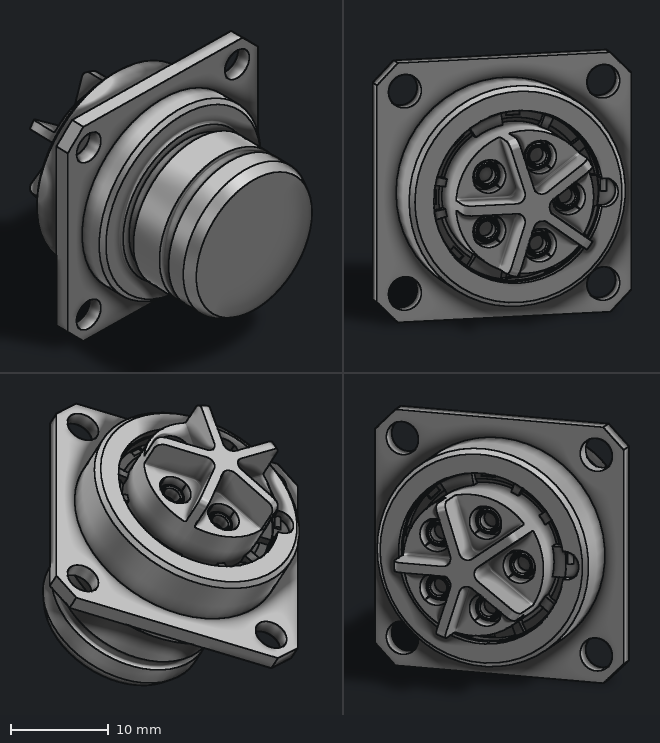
import cadquery as cq
import math

LENGTH = 27.05
SECTOR_FLOOR_X = 3.52
EARTH_FLOOR_X = 4.45
SHELL_FRONT_X = 6.4
FLANGE_FRONT_X = 11.9
FLANGE_THICKNESS = 1.68
SHELL_REAR_X = 16.58
COLLAR_REAR_X = 17.01
BARREL_FRONT_X = 18.45
GROOVE_FRONT_X = 22.3
GROOVE_REAR_X = 23.65
NOSE_X = 25.8

SHELL_RADIUS = 11.47
SHELL_CHAMFER = 0.5
COLLAR_RADIUS = 8.95
COLLAR_BLEND = 0.25
NECK_RADIUS = 8.12
BARREL_RADIUS = 8.87
GROOVE_RADIUS = 8.3
GROOVE_FILLET = 0.14
NOSE_RADIUS = 8.22

FLANGE_SIDE = 27.0
FLANGE_CORNER = 2.22
MOUNT_HOLE_RADIUS = 1.73
MOUNT_HOLE_PITCH = 21.05

MOUTH_RADIUS = 8.98
MOUTH_DEPTH = 0.9
GAP_RADIUS = 8.82
GAP_FLOOR_X = 8.52
BEVEL_RADIUS = 7.9
BEVEL_DEPTH = 0.4
RIB_HEIGHT = 0.68
TAB_HEIGHT = 0.8
RIB_ANGLES = (62.0, 68.5)
TAB_ANGLES = (100.0, 124.0)
SIDE_RIB_ANGLES = (165.0, 171.0)
ARM_RIB_WIDTH = 1.14
ARM_RIB_SHIFT = 0.15
KEY_BLOCK_WIDTH = 3.2
WINDOW_ANGLES = (90, 135, 180, 225, 270)
WINDOW_RADIUS = 8.45
WINDOW_LENGTH = 1.45
WINDOW_WIDTH = 0.6
WINDOW_DEPTH = 0.27

KEYWAY_RADIUS = 1.5
KEYWAY_OFFSET = 9.1
KEYWAY_DEPTH = 1.08
KEYWAY_BEAD_RADIUS = 0.32
KEYWAY_BEAD_OFFSET = 9.3

INSERT_RADIUS = 7.45
TIP_FILLET = 0.92
CONTACTS = 5
ARM_THICKNESS = 1.03
HUB_FILLET = 0.92
FLOOR_FILLET = 0.22
CONTACT_CIRCLE = 4.81
RECESS_RADIUS = 1.73
RECESS_DEPTH = 2.16
RECESS_FLOOR_RADIUS = 1.57
RECESS_STRAIGHT_WIDTH = 2.38
TUBE_RADIUS = 1.35
TUBE_SETBACK = 0.68
TUBE_CHAMFER = 0.15
BORE_RADIUS = 0.9

SECTOR_STEP = 360.0 / CONTACTS
OVERLAP = 0.27


def facing_front(x):
    """Workplane at station x looking out of the front: local x is -Y, local y is Z."""
    return cq.Workplane(cq.Plane(origin=(x, 0, 0), xDir=(0, -1, 0), normal=(-1, 0, 0)))


def polar(radius, angle):
    """Local point on a front-facing plane; angle 0 points at the earth contact."""
    return radius * math.cos(math.radians(angle)), radius * math.sin(math.radians(angle))


def turned(profile):
    return profile.close().revolve(360, (0, 0, 0), (1, 0, 0))


def make_housing():
    shell_edge = SHELL_RADIUS - SHELL_CHAMFER
    return turned(
        cq.Workplane("XY")
        .moveTo(SHELL_FRONT_X, 0)
        .lineTo(SHELL_FRONT_X, shell_edge)
        .lineTo(SHELL_FRONT_X + SHELL_CHAMFER, SHELL_RADIUS)
        .lineTo(SHELL_REAR_X - SHELL_CHAMFER, SHELL_RADIUS)
        .lineTo(SHELL_REAR_X, shell_edge)
        .lineTo(SHELL_REAR_X, COLLAR_RADIUS + COLLAR_BLEND)
        .radiusArc((SHELL_REAR_X + COLLAR_BLEND, COLLAR_RADIUS), -COLLAR_BLEND)
        .lineTo(COLLAR_REAR_X, COLLAR_RADIUS)
        .lineTo(COLLAR_REAR_X, NECK_RADIUS)
        .lineTo(BARREL_FRONT_X, NECK_RADIUS)
        .lineTo(BARREL_FRONT_X, BARREL_RADIUS)
        .lineTo(GROOVE_FRONT_X, BARREL_RADIUS)
        .lineTo(GROOVE_FRONT_X, GROOVE_RADIUS + GROOVE_FILLET)
        .radiusArc((GROOVE_FRONT_X + GROOVE_FILLET, GROOVE_RADIUS), -GROOVE_FILLET)
        .lineTo(GROOVE_REAR_X - GROOVE_FILLET, GROOVE_RADIUS)
        .radiusArc((GROOVE_REAR_X, GROOVE_RADIUS + GROOVE_FILLET), -GROOVE_FILLET)
        .lineTo(GROOVE_REAR_X, BARREL_RADIUS)
        .lineTo(NOSE_X, BARREL_RADIUS)
        .lineTo(LENGTH, NOSE_RADIUS)
        .lineTo(LENGTH, 0)
    )


def make_flange():
    flange = (
        facing_front(FLANGE_FRONT_X)
        .rect(FLANGE_SIDE, FLANGE_SIDE)
        .extrude(-FLANGE_THICKNESS)
        .edges("|X")
        .chamfer(FLANGE_CORNER)
    )
    holes = (
        facing_front(FLANGE_FRONT_X)
        .rect(MOUNT_HOLE_PITCH, MOUNT_HOLE_PITCH, forConstruction=True)
        .vertices()
        .circle(MOUNT_HOLE_RADIUS)
        .extrude(-FLANGE_THICKNESS)
    )
    return flange.cut(holes)


def make_gap():
    """Stepped bore with a conical groove around the foot of the insert."""
    return turned(
        cq.Workplane("XY")
        .moveTo(SHELL_FRONT_X, 0)
        .lineTo(SHELL_FRONT_X, MOUTH_RADIUS)
        .lineTo(SHELL_FRONT_X + MOUTH_DEPTH, MOUTH_RADIUS)
        .lineTo(SHELL_FRONT_X + MOUTH_DEPTH, GAP_RADIUS)
        .lineTo(GAP_FLOOR_X, GAP_RADIUS)
        .lineTo(GAP_FLOOR_X, BEVEL_RADIUS)
        .lineTo(GAP_FLOOR_X + BEVEL_DEPTH, INSERT_RADIUS)
        .lineTo(GAP_FLOOR_X + BEVEL_DEPTH, 0)
    )


def raised_sector(start, end, height):
    """Block across the annular gap between two angles, standing on its floor."""
    middle = (start + end) / 2
    inner = INSERT_RADIUS - OVERLAP
    outer = GAP_RADIUS + OVERLAP
    return (
        facing_front(GAP_FLOOR_X + BEVEL_DEPTH)
        .moveTo(*polar(inner, start))
        .lineTo(*polar(outer, start))
        .threePointArc(polar(outer, middle), polar(outer, end))
        .lineTo(*polar(inner, end))
        .threePointArc(polar(inner, middle), polar(inner, start))
        .close()
        .extrude(BEVEL_DEPTH + height)
    )


def raised_bar(angle, width, height, shift=0.0):
    """Straight radial bar across the annular gap."""
    inner = INSERT_RADIUS - OVERLAP
    outer = GAP_RADIUS + OVERLAP / 2
    return (
        facing_front(GAP_FLOOR_X + BEVEL_DEPTH)
        .center((inner + outer) / 2, shift)
        .rect(outer - inner, width)
        .extrude(BEVEL_DEPTH + height)
        .rotate((0, 0, 0), (-1, 0, 0), angle)
    )


def gap_blocks():
    blocks = [raised_bar(0, KEY_BLOCK_WIDTH, TAB_HEIGHT)]
    for side in (1, -1):
        blocks.append(raised_bar(side * SECTOR_STEP / 2, ARM_RIB_WIDTH, RIB_HEIGHT, -side * ARM_RIB_SHIFT))
        blocks.append(raised_sector(*[side * angle for angle in RIB_ANGLES], RIB_HEIGHT))
        blocks.append(raised_sector(*[side * angle for angle in TAB_ANGLES], TAB_HEIGHT))
        blocks.append(raised_sector(*[side * angle for angle in SIDE_RIB_ANGLES], RIB_HEIGHT))
    return blocks


def make_window(angle):
    return (
        facing_front(GAP_FLOOR_X)
        .center(WINDOW_RADIUS, 0)
        .rect(WINDOW_WIDTH, WINDOW_LENGTH)
        .extrude(-WINDOW_DEPTH)
        .rotate((0, 0, 0), (-1, 0, 0), angle)
    )


def make_keyway():
    """Shallow round pocket across the rim of the gap, with a half-round bead along one side of its floor."""
    pocket = (
        facing_front(SHELL_FRONT_X)
        .center(KEYWAY_OFFSET, 0)
        .circle(KEYWAY_RADIUS)
        .extrude(-KEYWAY_DEPTH)
    )
    bead = (
        cq.Workplane("XY")
        .center(SHELL_FRONT_X + KEYWAY_DEPTH, -KEYWAY_BEAD_OFFSET)
        .circle(KEYWAY_BEAD_RADIUS)
        .extrude(KEYWAY_RADIUS)
    )
    return pocket.cut(bead)


def make_sector_cutter(index):
    """Wedge between two neighbouring arms, rounded at the hub and along the floor."""
    floor_x = EARTH_FLOOR_X if index == 0 else SECTOR_FLOOR_X
    half_angle = SECTOR_STEP / 2
    hub = ARM_THICKNESS / 2 / math.sin(math.radians(half_angle))
    reach = 2 * INSERT_RADIUS
    across = (reach - hub) * math.tan(math.radians(half_angle))
    return (
        facing_front(floor_x)
        .polyline([(hub, 0), (reach, -across), (reach, across)])
        .close()
        .extrude(floor_x + OVERLAP)
        .edges("|X and >Y")
        .fillet(HUB_FILLET)
        .faces(">X")
        .edges()
        .fillet(FLOOR_FILLET)
        .rotate((0, 0, 0), (-1, 0, 0), index * SECTOR_STEP)
    )


def make_contact_recess(index):
    """Recess around a hollow contact tube, straight above and below, tapered at its -Y and +Y sides."""
    floor_x = EARTH_FLOOR_X if index == 0 else SECTOR_FLOOR_X
    center = polar(CONTACT_CIRCLE, index * SECTOR_STEP)
    straight = (
        facing_front(floor_x)
        .center(*center)
        .circle(RECESS_RADIUS)
        .extrude(-RECESS_DEPTH)
        .intersect(
            facing_front(floor_x)
            .center(*center)
            .rect(RECESS_STRAIGHT_WIDTH, 2 * RECESS_RADIUS + OVERLAP)
            .extrude(-RECESS_DEPTH)
        )
    )
    tapered = (
        facing_front(floor_x)
        .center(*center)
        .circle(RECESS_RADIUS)
        .workplane(offset=-RECESS_DEPTH)
        .circle(RECESS_FLOOR_RADIUS)
        .loft()
    )
    tube = (
        facing_front(floor_x + RECESS_DEPTH)
        .center(*center)
        .circle(TUBE_RADIUS)
        .circle(BORE_RADIUS)
        .extrude(RECESS_DEPTH - TUBE_SETBACK)
        .faces("<X")
        .chamfer(TUBE_CHAMFER)
    )
    return straight.union(tapered).cut(tube)


def make_insert():
    insert = (
        facing_front(GAP_FLOOR_X + BEVEL_DEPTH + OVERLAP)
        .circle(INSERT_RADIUS)
        .extrude(GAP_FLOOR_X + BEVEL_DEPTH + OVERLAP)
        .faces("<X")
        .edges()
        .fillet(TIP_FILLET)
    )
    for index in range(CONTACTS):
        insert = insert.cut(make_sector_cutter(index))
        insert = insert.cut(make_contact_recess(index))
    return insert


housing = make_housing().union(make_flange()).cut(make_gap())
for block in gap_blocks():
    housing = housing.union(block)
for window_angle in WINDOW_ANGLES:
    housing = housing.cut(make_window(window_angle))
result = housing.cut(make_keyway()).union(make_insert())